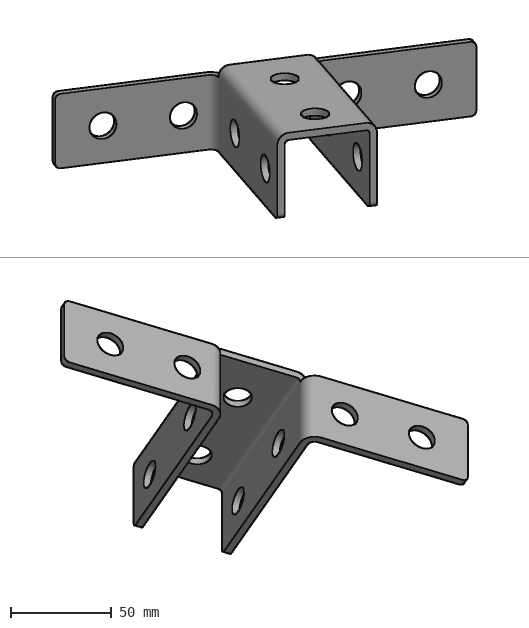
import cadquery as cq

length = 101.0
span = 220.0
height = 46.0
channel_width = 52.1

thickness = 4.0
top_bend_inner = 2.0
top_bend_outer = top_bend_inner + thickness
wing_bend_inner = 4.0
wing_bend_outer = wing_bend_inner + thickness
corner_radius = 3.0

hole_diameter = 14.0
channel_hole_end_gap = 19.1
channel_hole_pitch = 48.0
wing_hole_tip_gap = 25.0
wing_hole_pitch = 42.0

wall_height = height - top_bend_outer
hole_z = wall_height / 2
half_width = channel_width / 2
inner_half_width = half_width - thickness
channel_length = length - wing_bend_outer
wing_root_y = half_width + wing_bend_inner
wing_length = span / 2 - wing_root_y
channel_hole_xs = [length - channel_hole_end_gap - i * channel_hole_pitch for i in range(2)]
wing_hole_ys = [span / 2 - wing_hole_tip_gap - i * wing_hole_pitch for i in range(2)]


def make_channel():
    """U-shaped channel, open downwards, with rounded lower corners at its free end."""
    outer = (
        cq.Workplane("YZ", origin=(wing_bend_outer, 0, 0))
        .rect(channel_width, 2 * height)
        .extrude(channel_length)
        .edges("|X and >Z").fillet(top_bend_outer)
    )
    inner = (
        cq.Workplane("YZ", origin=(wing_bend_outer, 0, 0))
        .rect(2 * inner_half_width, 2 * (height - thickness))
        .extrude(channel_length)
        .edges("|X and >Z").fillet(top_bend_inner)
    )
    above_base = cq.Workplane("XY").box(length, span, height, centered=(False, True, False))
    channel = outer.cut(inner).intersect(above_base)
    return channel.edges("|Y and >X and <Z").fillet(corner_radius)


def make_wing():
    """Wing on the +Y side: a flat plate with rounded tip corners and the bend to the channel wall."""
    plate = (
        cq.Workplane("XY")
        .box(thickness, wing_length, wall_height, centered=False)
        .translate((0, wing_root_y, 0))
        .edges("|X and >Y").fillet(corner_radius)
    )
    bend_square = (
        cq.Workplane("XY")
        .box(wing_bend_outer, wing_bend_outer, wall_height, centered=False)
        .translate((0, inner_half_width, 0))
    )
    bend_ring = (
        cq.Workplane("XY", origin=(wing_bend_outer, wing_root_y, 0))
        .circle(wing_bend_outer)
        .circle(wing_bend_inner)
        .extrude(wall_height)
    )
    return plate.union(bend_ring.intersect(bend_square))


def make_holes():
    """Cutters for the channel top, both channel walls and both wings."""
    top_holes = (
        cq.Workplane("XY", origin=(0, 0, wall_height))
        .pushPoints([(x, 0) for x in channel_hole_xs])
        .circle(hole_diameter / 2)
        .extrude(height)
    )
    wall_holes = (
        cq.Workplane("XZ")
        .pushPoints([(x, hole_z) for x in channel_hole_xs])
        .circle(hole_diameter / 2)
        .extrude(channel_width, both=True)
    )
    wing_holes = (
        cq.Workplane("YZ")
        .pushPoints([(side * y, hole_z) for side in (1, -1) for y in wing_hole_ys])
        .circle(hole_diameter / 2)
        .extrude(thickness)
    )
    return top_holes, wall_holes, wing_holes


wing = make_wing()
result = make_channel().union(wing).union(wing.mirror("XZ"))
for holes in make_holes():
    result = result.cut(holes)